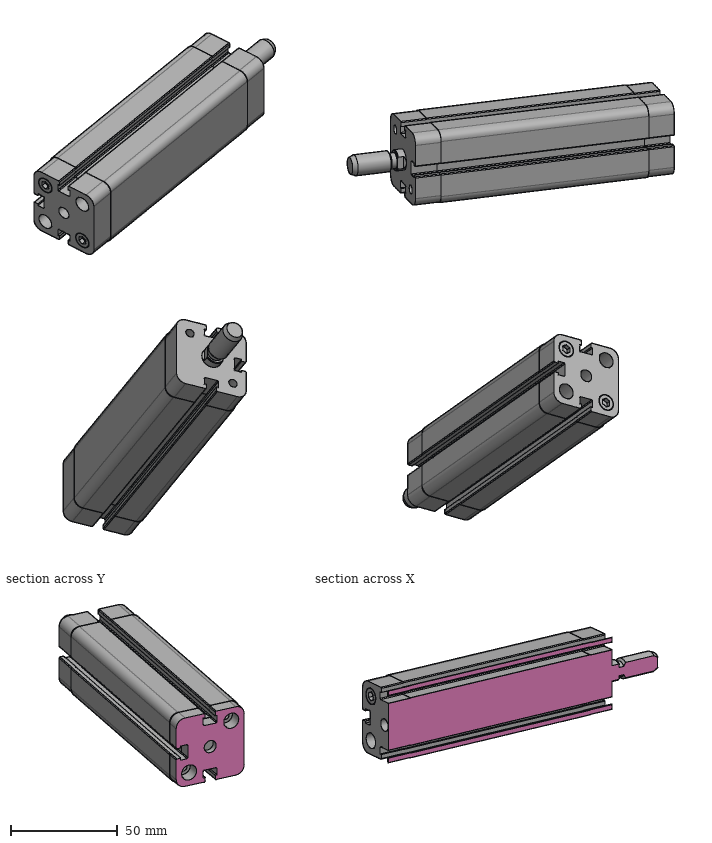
import cadquery as cq
import math

total_length = 154.5
rod_length = 26.3
body_length = total_length - rod_length
cap_length = 12.7
barrel_length = body_length - 2 * cap_length

barrel_side = 36.2
cap_side = 35.8
barrel_corner_radius = 4.3
cap_corner_radius = 4.6

slot_opening = 5.1
slot_inner_width = 7.1
slot_lip = 2.5
slot_depth = 6.2
slot_edge_chamfer = 0.5
slot_floor_chamfer = 0.5
slot_angles = (0, 90, 180)

bolt_spacing = 22.1
bolt_offset = bolt_spacing / 2
bolt_hole_diameter = 4.2
bolt_counterbore_diameter = 7.5
bolt_counterbore_depth = 12.7
screw_bore_diameter = 8.0
screw_head_diameter = 7.5
screw_head_height = 4.0
socket_across_flats = 3.9
socket_depth = 2.3
centre_hole_diameter = 6.0
centre_hole_depth = 9.3

rod_diameter = 10.0
neck_diameter = 7.5
tip_diameter = 8.0
tip_chamfer_length = 2.3
thread_length = 18.7
thread_runout_length = 1.0
collar_length = 4.2
collar_chamfer_length = 0.5
collar_chamfer_depth = 0.3
flats_width = 8.0


def cylinder(diameter, length, x=0.0, z=0.0):
    """Cylinder along +Y from the plain end face."""
    return cq.Workplane("XZ").center(x, z).circle(diameter / 2).extrude(-length)


def t_slot(side, length, angle):
    """T-slot cutter for a bar of the given side, turned about Y from the top side."""
    top = side / 2
    mouth = slot_opening / 2
    inner = slot_inner_width / 2
    right_half = [
        (mouth + slot_edge_chamfer, top),
        (mouth, top - slot_edge_chamfer),
        (mouth, top - slot_lip),
        (inner, top - slot_lip),
        (inner, top - slot_depth + slot_floor_chamfer),
        (inner - slot_floor_chamfer, top - slot_depth),
    ]
    left_half = [(-x, z) for x, z in reversed(right_half)]
    cutter = cq.Workplane("XZ").polyline(right_half + left_half).close().extrude(-length)
    return cutter.rotate((0, 0, 0), (0, 1, 0), -angle)


def slotted_bar(side, length, corner_radius, start):
    """Square bar with rounded long edges and T-slots, running along +Y from start."""
    bar = cq.Workplane("XY").box(side, length, side, centered=(True, False, True))
    bar = bar.edges("|Y").fillet(corner_radius)
    for angle in slot_angles:
        bar = bar.cut(t_slot(side, length, angle))
    return bar.translate((0, start, 0))


def bolt_hole(x, z):
    """Through hole with a counterbore in the plain end face."""
    counterbore = cylinder(bolt_counterbore_diameter, bolt_counterbore_depth, x, z)
    return cylinder(bolt_hole_diameter, body_length, x, z).union(counterbore)


def screw_recess(x, z):
    """Narrow ring around a flush screw head, plus its hexagon socket."""
    bore = cylinder(screw_bore_diameter, screw_head_height, x, z)
    head = cylinder(screw_head_diameter, screw_head_height, x, z)
    socket_across_corners = socket_across_flats / math.cos(math.pi / 6)
    socket = (
        cq.Workplane("XZ")
        .center(x, z)
        .transformed(rotate=(0, 0, 90))
        .polygon(6, socket_across_corners)
        .extrude(-socket_depth)
    )
    return bore.cut(head).union(socket)


def piston_rod():
    """Turned rod with two flats on its collar."""
    rod_radius = rod_diameter / 2
    neck_radius = neck_diameter / 2
    thread_start = total_length - thread_length
    neck_end = thread_start - thread_runout_length
    collar_end = body_length + collar_length
    profile = [
        (0, body_length),
        (rod_radius, body_length),
        (rod_radius, collar_end - collar_chamfer_length),
        (rod_radius - collar_chamfer_depth, collar_end),
        (neck_radius, collar_end),
        (neck_radius, neck_end),
        (rod_radius, thread_start),
        (rod_radius, total_length - tip_chamfer_length),
        (tip_diameter / 2, total_length),
        (0, total_length),
    ]
    rod = cq.Workplane("XY").polyline(profile).close().revolve(360, (0, 0, 0), (0, 1, 0))

    flat_x = flats_width / 2
    flat_start = body_length + rod_radius - flat_x
    flat_outline = [
        (rod_radius, body_length),
        (flat_x, flat_start),
        (flat_x, collar_end),
        (rod_radius, collar_end),
    ]
    flat = cq.Workplane("XY").polyline(flat_outline).close().extrude(rod_radius, both=True)
    return rod.cut(flat).cut(flat.mirror("YZ"))


result = slotted_bar(cap_side, cap_length, cap_corner_radius, 0)
result = result.union(slotted_bar(barrel_side, barrel_length, barrel_corner_radius, cap_length))
result = result.union(slotted_bar(cap_side, cap_length, cap_corner_radius, body_length - cap_length))

for sign in (-1, 1):
    result = result.cut(bolt_hole(sign * bolt_offset, sign * bolt_offset))
    result = result.cut(screw_recess(sign * bolt_offset, -sign * bolt_offset))
result = result.cut(cylinder(centre_hole_diameter, centre_hole_depth))

result = result.union(piston_rod())

result = result.translate((0, -total_length / 2, 0))